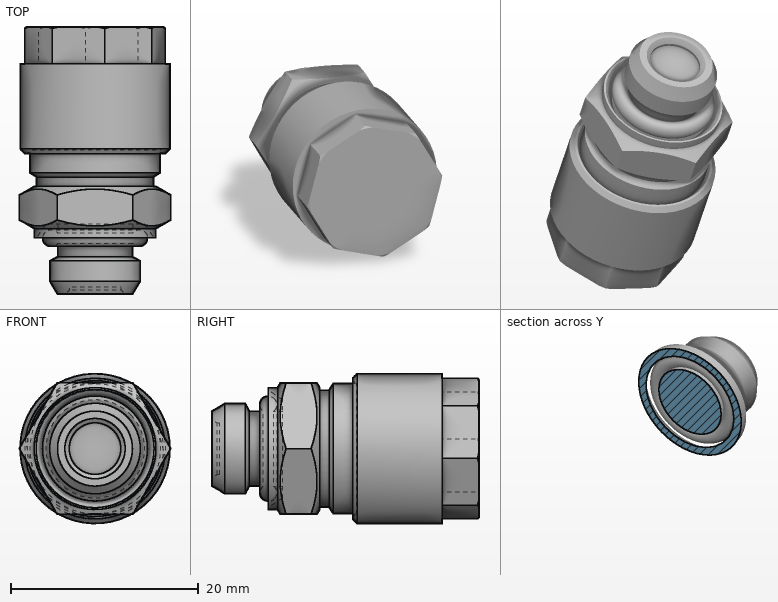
import cadquery as cq
import math


tip_radius = 4.0
plug_radius = 4.83
tip_chamfer_end = 1.4
plug_end = 3.55
shank_radius = 4.0
shank_start = 4.0

bore_mouth_radius = 3.22
bore_radius = 2.75
countersink_depth = 0.5
bore_depth = 0.8

ring_section_radius = 0.9
ring_outer_radius = 5.6
seat_mouth_radius = 6.3
collar_radius = 6.5
collar_front = 6.0
seat_floor_radius = 5.25
seat_depth = 1.5

nut_sides = 6
nut_across_flats = 14.0
nut_front = 7.0
nut_rear = 11.5
nut_face_radius = collar_radius
nut_chamfer_angle = 30.0

groove_radius = 6.25
neck_radius = 6.95
neck_front = 12.5
neck_chamfer_length = 0.45

body_radius = 8.0
body_front = 15.0
body_rear = 24.55
body_chamfer = 0.5

mouth_radius = 7.25
mouth_depth = 0.4

octagon_sides = 8
octagon_across_flats = 14.0
octagon_turn = 7.8
octagon_face_radius = 7.3
octagon_chamfer_angle = 30.0
overall_length = 28.5


def revolve_about_y(profile):
    """Turn a closed (radius, Y) profile into a solid of revolution."""
    return cq.Workplane("XY").polyline(profile).close().revolve(360, (0, 0, 0), (0, 1, 0))


def corner_radius_of(sides, across_flats):
    """Radius through the corners of a regular polygon."""
    return across_flats / 2 / math.cos(math.pi / sides)


def prism_along_y(sides, across_flats, start, end, vertex_angle):
    """Regular prism with one vertex at vertex_angle, measured from +X toward +Z."""
    corner_radius = corner_radius_of(sides, across_flats)
    prism = (
        cq.Workplane("XZ", origin=(0, start, 0))
        .polygon(sides, 2 * corner_radius)
        .extrude(start - end)
    )
    return prism.rotate((0, 0, 0), (0, 1, 0), -vertex_angle)


def make_plug():
    return revolve_about_y([
        (0, 0),
        (tip_radius, 0),
        (plug_radius, tip_chamfer_end),
        (plug_radius, plug_end),
        (shank_radius, shank_start),
        (shank_radius, collar_front + seat_depth),
        (0, collar_front + seat_depth),
    ])


def make_bore():
    return revolve_about_y([
        (0, 0),
        (bore_mouth_radius, 0),
        (bore_radius, countersink_depth),
        (bore_radius, bore_depth),
        (0, bore_depth),
    ])


def make_collar():
    return revolve_about_y([
        (0, collar_front),
        (collar_radius, collar_front),
        (collar_radius, nut_rear),
        (0, nut_rear),
    ])


def make_seat():
    return revolve_about_y([
        (0, collar_front),
        (seat_mouth_radius, collar_front),
        (seat_floor_radius, collar_front + seat_depth),
        (0, collar_front + seat_depth),
    ])


def make_sealing_ring():
    center_radius = ring_outer_radius - ring_section_radius
    return (
        cq.Workplane("XY")
        .center(-center_radius, collar_front)
        .circle(ring_section_radius)
        .revolve(360, (center_radius, 0, 0), (center_radius, 1, 0))
    )


def make_nut():
    corner_radius = corner_radius_of(nut_sides, nut_across_flats)
    chamfer_length = (corner_radius - nut_face_radius) * math.tan(math.radians(nut_chamfer_angle))
    envelope = revolve_about_y([
        (0, nut_front),
        (nut_face_radius, nut_front),
        (corner_radius, nut_front + chamfer_length),
        (corner_radius, nut_rear - chamfer_length),
        (nut_face_radius, nut_rear),
        (0, nut_rear),
    ])
    return prism_along_y(nut_sides, nut_across_flats, nut_front, nut_rear, 0).intersect(envelope)


def make_neck_and_body():
    return revolve_about_y([
        (0, nut_rear),
        (groove_radius, nut_rear),
        (groove_radius, neck_front),
        (neck_radius, neck_front + neck_chamfer_length),
        (neck_radius, body_front + mouth_depth),
        (mouth_radius, body_front),
        (body_radius - body_chamfer, body_front),
        (body_radius, body_front + body_chamfer),
        (body_radius, body_rear),
        (0, body_rear),
    ])


def make_rear_octagon():
    corner_radius = corner_radius_of(octagon_sides, octagon_across_flats)
    chamfer_length = (corner_radius - octagon_face_radius) * math.tan(math.radians(octagon_chamfer_angle))
    envelope = revolve_about_y([
        (0, body_rear),
        (corner_radius, body_rear),
        (corner_radius, overall_length - chamfer_length),
        (octagon_face_radius, overall_length),
        (0, overall_length),
    ])
    vertex_angle = 90 - octagon_turn
    octagon = prism_along_y(
        octagon_sides, octagon_across_flats, body_rear, overall_length, vertex_angle
    )
    return octagon.intersect(envelope)


result = (
    make_collar()
    .union(make_nut())
    .union(make_neck_and_body())
    .union(make_rear_octagon())
    .cut(make_seat())
    .union(make_plug())
    .union(make_sealing_ring())
    .cut(make_bore())
)